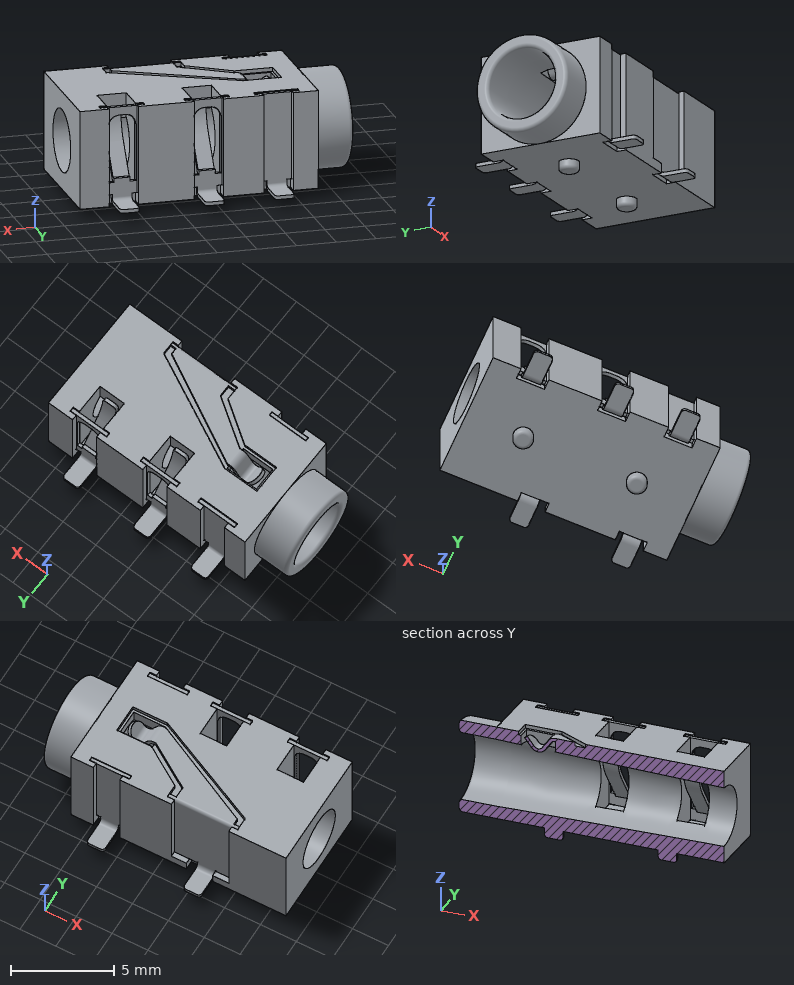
import cadquery as cq
import math

length = 14.0
barrel_length = 2.0
body_width = 6.5
body_height = 5.0
axis_z = body_height / 2
half_width = body_width / 2

barrel_radius = body_height / 2
entry_radius = 1.8
rear_radius = 1.58
edge_round = 0.2

peg_radius = 0.5
peg_length = 0.5
peg_places = (5.0, 11.0)

sheet = 0.2
slot_outer_y = 2.95
near_slot_inner_y = slot_outer_y - sheet
plate_bottom = 0.5
plate_drop = 0.04
plate_width = 2.21
opening_width = 1.47
overall_width = 8.8
pad_reach = overall_width / 2
pad_width = 1.0
near_bend = 0.25
far_bend = 0.15
far_gap = 0.03
far_slot_inner_y = slot_outer_y - sheet - 2 * far_gap
far_plate_y = slot_outer_y - far_gap
front_terminal_x = 3.99
spring_terminal_places = (7.5, 11.79)

pocket_inner_y = 1.05
window_width = 1.37
window_bottom = 1.12
window_top = 4.54
window_round = 0.55
arm_width = 0.81
arm_round = 0.22
arm_root_slope = math.radians(55)
arm_tip_y = 1.06
arm_tip_z = 4.2
arm_bend = 2.66

cover_slot_x = (7.21, 11.13)
cover_x = (7.6, 10.81)
cover_pad_x = 9.38
cover_opening_x = (8.44, 9.9)
recess_x = 3.16
recess_half = 0.78
recess_knee_x = 5.1
recess_side_y = -2.21
top_window_x = (3.29, 5.08)
top_window_width = 1.3
tongue_half = 0.5
cover_bend = 0.18
cover_knee_x = 5.18
cover_near_y = -2.13
cover_far_y = -2.42

tongue_start_x = 5.08
tongue_low_z = 4.06
tongue_drop_angle = math.radians(55)
tongue_rise_angle = math.radians(52)
tongue_bend = 0.27
tongue_tip_x = 3.46


def box(x0, x1, y0, y1, z0, z1):
    """Box between two opposite corners."""
    return cq.Workplane("XY").box(x1 - x0, y1 - y0, z1 - z0, centered=False).translate((x0, y0, z0))


def span(center, width):
    """Both ends of a width placed about a center."""
    return center - width / 2, center + width / 2


def make_housing():
    body = box(barrel_length, length, -half_width, half_width, 0, body_height)
    barrel = cq.Workplane("YZ").center(0, axis_z).circle(barrel_radius).extrude(barrel_length)
    barrel = barrel.faces("<X").edges().fillet(edge_round)
    pegs = (
        cq.Workplane("XY").pushPoints([(x, 0) for x in peg_places]).circle(peg_radius)
        .extrude(-peg_length).faces("<Z").edges().fillet(edge_round)
    )
    return body.union(barrel).union(pegs)


def make_bore():
    """Rounded mouth, straight entry bore and long taper to the rear, turned about the plug axis."""
    mouth_radius = entry_radius + edge_round
    bend = edge_round * math.sqrt(0.5)
    return (
        cq.Workplane("XY").lineTo(0, mouth_radius)
        .threePointArc((edge_round - bend, mouth_radius - bend), (edge_round, entry_radius))
        .lineTo(barrel_length, entry_radius)
        .lineTo(length, rear_radius).lineTo(length, 0).close()
        .revolve(360, (0, 0, 0), (1, 0, 0)).translate((0, 0, axis_z))
    )


def make_slot(plate_x, opening_x, slot_inner_y, slot_bottom):
    """Slot for a terminal plate on the +Y side, with the opening in front of it."""
    slot = box(*plate_x, slot_inner_y, slot_outer_y, plate_bottom, body_height)
    opening = box(*opening_x, slot_outer_y, half_width, slot_bottom, body_height)
    return slot.union(opening)


def make_pad_gap(opening_x, slot_inner_y):
    """Gap under a plate that leaves the bent pad free."""
    return box(*opening_x, slot_inner_y, half_width, 0, plate_bottom)


def make_terminal_slot(x, slot_inner_y):
    opening_x = span(x, opening_width)
    slot = make_slot(span(x, plate_width), opening_x, slot_inner_y, 0)
    return slot.union(make_pad_gap(opening_x, slot_inner_y))


def make_pad(x, plate_y, pad_bend):
    """Strip bent outwards from the lower edge of a plate into a solder pad."""
    bend_y = plate_y + pad_bend
    bend_z = sheet + pad_bend
    diagonal = math.sqrt(0.5)
    inner = pad_bend * diagonal
    outer = bend_z * diagonal
    strip = (
        cq.Workplane("YZ").moveTo(plate_y - sheet, plate_bottom).lineTo(plate_y - sheet, bend_z)
        .threePointArc((bend_y - outer, bend_z - outer), (bend_y, 0))
        .lineTo(pad_reach, 0).lineTo(pad_reach, sheet).lineTo(bend_y, sheet)
        .threePointArc((bend_y - inner, bend_z - inner), (plate_y, bend_z))
        .lineTo(plate_y, plate_bottom).close()
        .extrude(pad_width / 2, both=True)
    )
    return strip.faces(">Y").edges("|Z").fillet(edge_round).translate((x, 0, 0))


def make_terminal(x, plate_y, pad_bend):
    """Plate with its outer face at plate_y, and its solder pad."""
    plate_top = body_height - plate_drop
    plate = box(*span(x, plate_width), plate_y - sheet, plate_y, plate_bottom, plate_top)
    return plate.union(make_pad(x, plate_y, pad_bend))


def make_spring_arm(x):
    """Arm rising inwards from the plate and curving upright at its tip."""
    plate_inner_y = far_plate_y - sheet
    center_y = arm_tip_y + arm_bend
    tip_slope = math.pi / 2
    middle_slope = (arm_root_slope + tip_slope) / 2
    back_radius = arm_bend - sheet

    def on_bend(radius, slope):
        """Point (Y, Z) of the bend where the arm climbs at the given slope."""
        return center_y - radius * math.sin(slope), arm_tip_z - radius * math.cos(slope)

    def root_z(radius):
        """Height at which the straight below the bend meets the plate."""
        y, z = on_bend(radius, arm_root_slope)
        return z - (plate_inner_y - y) * math.tan(arm_root_slope)

    arm = (
        cq.Workplane("YZ").moveTo(plate_inner_y, root_z(arm_bend))
        .lineTo(*on_bend(arm_bend, arm_root_slope))
        .threePointArc(on_bend(arm_bend, middle_slope), on_bend(arm_bend, tip_slope))
        .lineTo(*on_bend(back_radius, tip_slope))
        .threePointArc(on_bend(back_radius, middle_slope), on_bend(back_radius, arm_root_slope))
        .lineTo(plate_inner_y, root_z(back_radius))
        .lineTo(far_plate_y, root_z(back_radius)).lineTo(far_plate_y, root_z(arm_bend))
        .close().extrude(arm_width / 2, both=True)
    )
    tip_sides = arm.faces(">Z").edges("|Y")
    return tip_sides.fillet(arm_round).translate((x, 0, 0))


def make_spring_terminal(x):
    window = box(
        *span(x, window_width), far_plate_y - sheet, far_plate_y, window_bottom, window_top
    ).faces(">Z").edges("|Y").fillet(window_round)
    return make_terminal(x, far_plate_y, far_bend).cut(window).union(make_spring_arm(x))


def make_recess():
    """Recess for the top contact and the window from it down to the bore."""
    recess_floor = body_height - sheet
    near_x, far_x = cover_slot_x
    recess = (
        cq.Workplane("XY").workplane(offset=recess_floor)
        .polyline([
            (recess_x, recess_half), (recess_knee_x, recess_half), (far_x, recess_side_y),
            (far_x, -near_slot_inner_y), (near_x, -near_slot_inner_y), (near_x, recess_side_y),
            (recess_knee_x, -recess_half), (recess_x, -recess_half),
        ]).close().extrude(sheet)
    )
    window = box(*top_window_x, *span(0, top_window_width), axis_z, body_height)
    return recess.union(window)


def make_tongue():
    """Constant-thickness strip bent along X, made from two bends joined by straights."""
    inside, outside = tongue_bend, tongue_bend + sheet
    top_x, top_z = tongue_start_x, body_height - outside
    low_z = tongue_low_z + outside
    drop_sin, drop_cos = math.sin(tongue_drop_angle), math.cos(tongue_drop_angle)
    rise_sin, rise_cos = math.sin(tongue_rise_angle), math.cos(tongue_rise_angle)
    radii = inside + outside
    fall = top_z - low_z
    low_x = top_x - radii * drop_sin - (fall + radii * drop_cos) * drop_cos / drop_sin

    def on_top(radius, angle):
        return top_x - radius * math.sin(angle), top_z + radius * math.cos(angle)

    def on_low(radius, angle):
        return low_x + radius * math.sin(angle), low_z - radius * math.cos(angle)

    rise_x, rise_z = on_low(outside, -tongue_rise_angle)
    run = (rise_x - tongue_tip_x) / rise_cos
    tip = (tongue_tip_x, rise_z + run * rise_sin)
    tip_back = (tip[0] + sheet * rise_sin, tip[1] + sheet * rise_cos)
    drop, rise = tongue_drop_angle, -tongue_rise_angle
    strip = (
        cq.Workplane("XZ").moveTo(cover_knee_x, body_height).lineTo(*on_top(outside, 0))
        .threePointArc(on_top(outside, drop / 2), on_top(outside, drop))
        .lineTo(*on_low(inside, drop))
        .threePointArc(on_low(inside, (drop + rise) / 2), on_low(inside, rise))
        .lineTo(*tip_back).lineTo(*tip).lineTo(*on_low(outside, rise))
        .threePointArc(on_low(outside, (drop + rise) / 2), on_low(outside, drop))
        .lineTo(*on_top(inside, drop))
        .threePointArc(on_top(inside, drop / 2), on_top(inside, 0))
        .lineTo(cover_knee_x, body_height - sheet).close()
        .extrude(tongue_half, both=True)
    )
    tip_plane = cq.Plane(
        origin=(tip[0], 0, tip[1]), xDir=(rise_cos, 0, -rise_sin), normal=(rise_sin, 0, rise_cos)
    )
    corner = (
        cq.Workplane(tip_plane).rect(2 * tongue_half, 2 * tongue_half)
        .extrude(sheet)
        .cut(cq.Workplane(tip_plane).center(tongue_half, 0).circle(tongue_half).extrude(sheet))
    )
    return strip.cut(corner)


def make_cover():
    """Top contact: flat sheet, plate bent down into its slot, pad and tongue."""
    near_x, far_x = cover_x
    flat = (
        cq.Workplane("XY").workplane(offset=body_height - sheet)
        .polyline([
            (tongue_start_x, tongue_half), (cover_knee_x, tongue_half), (far_x, cover_far_y),
            (far_x, -near_slot_inner_y), (near_x, -near_slot_inner_y), (near_x, cover_near_y),
            (cover_knee_x, -tongue_half), (tongue_start_x, -tongue_half),
        ]).close().extrude(sheet)
    )
    plate = box(*cover_slot_x, -slot_outer_y, -near_slot_inner_y, plate_bottom, body_height)
    plate = plate.edges("<Y and >Z").fillet(cover_bend)
    pad = make_pad(cover_pad_x, slot_outer_y, near_bend).mirror("XZ")
    return flat.union(plate).union(pad).union(make_tongue())


result = make_housing().cut(make_bore()).cut(make_recess())

near_slot = make_terminal_slot(front_terminal_x, near_slot_inner_y)
cover_slot = make_slot(cover_slot_x, cover_x, near_slot_inner_y, plate_bottom)
cover_slot = cover_slot.union(make_pad_gap(cover_opening_x, near_slot_inner_y))
result = result.cut(near_slot.mirror("XZ")).cut(cover_slot.mirror("XZ"))

result = result.cut(make_terminal_slot(front_terminal_x, far_slot_inner_y))
for place in spring_terminal_places:
    pocket = box(
        *span(place, opening_width), pocket_inner_y, far_slot_inner_y, plate_bottom, body_height
    )
    result = result.cut(make_terminal_slot(place, far_slot_inner_y)).cut(pocket)

result = result.union(make_terminal(front_terminal_x, slot_outer_y, near_bend).mirror("XZ"))
result = result.union(make_cover())
result = result.union(make_terminal(front_terminal_x, far_plate_y, far_bend))
for place in spring_terminal_places:
    result = result.union(make_spring_terminal(place))